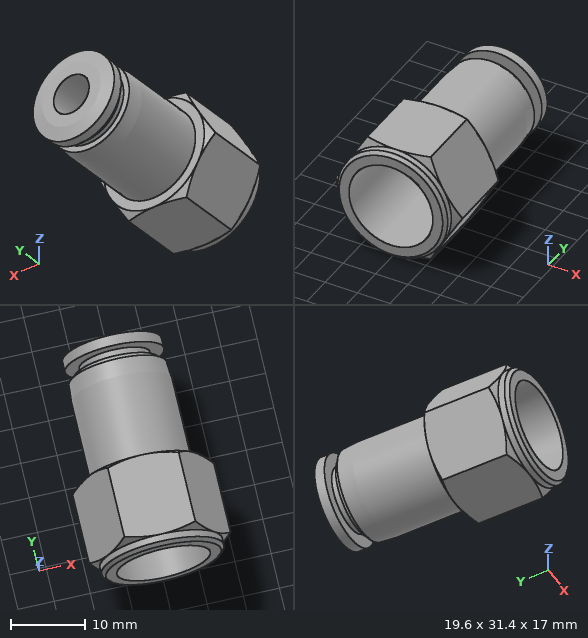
import cadquery as cq
import math

length = 31.4

across_flats = 17.0
across_corners = across_flats / math.cos(math.radians(30))
hex_start = 1.48
hex_end = 12.97
hex_chamfer_angle = 30.0

collar_diameter = across_flats
collar_chamfer = 0.5

body_diameter = 14.0
body_end = 25.0
taper_end_diameter = 13.6
taper_end = 27.48

ring_diameter = 11.7
ring_end = 28.23
neck_diameter = 9.8
flange_start = 29.4
flange_diameter = 13.8
flange_rim_end = 30.93
flange_face_diameter = 9.8

socket_diameter = 12.95
socket_depth = hex_end
passage_diameter = 6.0


def revolve_profile(points):
    """Revolve an outline of (radius, Y) points about the Y axis."""
    return cq.Workplane("XY").polyline(points).close().revolve(360, (0, 0, 0), (0, 1, 0))


def cylinder(diameter, start, end):
    """Cylinder along Y from start to end."""
    radius = diameter / 2
    return revolve_profile([(0, start), (radius, start), (radius, end), (0, end)])


def hexagon():
    """Hexagonal prism with corners on the X axis, both ends chamfered conically."""
    prism = (
        cq.Workplane("XZ", origin=(0, hex_start, 0))
        .polygon(6, across_corners)
        .extrude(hex_start - hex_end)
    )
    face_radius = across_flats / 2
    corner_radius = across_corners / 2
    drop = (corner_radius - face_radius) * math.tan(math.radians(hex_chamfer_angle))
    envelope = revolve_profile([
        (0, hex_start),
        (face_radius, hex_start),
        (corner_radius, hex_start + drop),
        (corner_radius, hex_end - drop),
        (face_radius, hex_end),
        (0, hex_end),
    ])
    return prism.intersect(envelope)


def collar():
    """Round collar with a chamfered front edge."""
    return cylinder(collar_diameter, 0, hex_start).faces("<Y").edges().chamfer(collar_chamfer)


def sleeve_and_button():
    """Sleeve with a tapered end, followed by the stepped release button."""
    return revolve_profile([
        (0, hex_end),
        (body_diameter / 2, hex_end),
        (body_diameter / 2, body_end),
        (taper_end_diameter / 2, taper_end),
        (ring_diameter / 2, taper_end),
        (ring_diameter / 2, ring_end),
        (neck_diameter / 2, ring_end),
        (neck_diameter / 2, flange_start),
        (flange_diameter / 2, flange_start),
        (flange_diameter / 2, flange_rim_end),
        (flange_face_diameter / 2, length),
        (0, length),
    ])


outside = collar().union(hexagon()).union(sleeve_and_button())
socket = cylinder(socket_diameter, 0, socket_depth)
passage = cylinder(passage_diameter, 0, length)
result = outside.cut(socket).cut(passage)